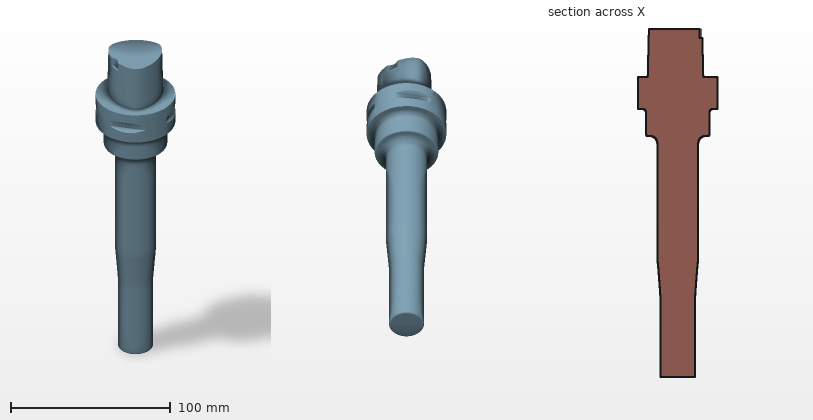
import cadquery as cq
import math

total_height = 218.0
taper_length = 30.0
flange_bottom = 167.6
collar_bottom = 150.9
upper_bend_height = 75.2
lower_bend_height = 50.4

flange_radius = 50.0 / 2
collar_radius = 40.0 / 2
shank_radius = 26.0 / 2
tip_radius = 22.0 / 2

flange_fillet = 2.2
collar_round = 1.0
shank_fillet = 4.5
tip_round = 1.0
bend_radius = 52.3

polygon_base_radius = 35.0 / 2
polygon_eccentricity = 1.4
polygon_taper = 1 / 20
lobe_count = 3
lobe_half_angle = 38.0
top_lobe_angle = 90.0

notch_radius = 5.2
notch_height = 5.7
notch_floor_offset = 13.7

slot_count = 4
slot_first_angle = 45.0
slot_height = 178.0
slot_floor_offset = 22.2
slot_floor_width = 3.5
slot_mouth_width = 7.2

flange_top = total_height - taper_length


def make_turned_body():
    """Flange, collar and stepped shank as one revolved profile."""
    slope_angle = math.atan2(shank_radius - tip_radius, upper_bend_height - lower_bend_height)
    bend_tangent = bend_radius * math.tan(slope_angle / 2)
    bend_dr = bend_tangent * math.sin(slope_angle)
    bend_dz = bend_tangent * math.cos(slope_angle)
    diagonal = math.sqrt(0.5)

    def quarter_arc(profile, center, radius, side_r, side_z, end):
        middle = (center[0] + side_r * radius * diagonal, center[1] + side_z * radius * diagonal)
        return profile.threePointArc(middle, end)

    profile = cq.Workplane("XZ").lineTo(tip_radius - tip_round, 0)
    profile = quarter_arc(
        profile, (tip_radius - tip_round, tip_round), tip_round, 1, -1, (tip_radius, tip_round)
    )
    profile = (
        profile.lineTo(tip_radius, lower_bend_height - bend_tangent)
        .tangentArcPoint((tip_radius + bend_dr, lower_bend_height + bend_dz), relative=False)
        .lineTo(shank_radius - bend_dr, upper_bend_height - bend_dz)
        .tangentArcPoint((shank_radius, upper_bend_height + bend_tangent), relative=False)
        .lineTo(shank_radius, collar_bottom - shank_fillet)
    )
    profile = quarter_arc(
        profile,
        (shank_radius + shank_fillet, collar_bottom - shank_fillet),
        shank_fillet, -1, 1,
        (shank_radius + shank_fillet, collar_bottom),
    )
    profile = profile.lineTo(collar_radius - collar_round, collar_bottom)
    profile = quarter_arc(
        profile,
        (collar_radius - collar_round, collar_bottom + collar_round),
        collar_round, 1, -1,
        (collar_radius, collar_bottom + collar_round),
    )
    profile = profile.lineTo(collar_radius, flange_bottom - flange_fillet)
    profile = quarter_arc(
        profile,
        (collar_radius + flange_fillet, flange_bottom - flange_fillet),
        flange_fillet, -1, 1,
        (collar_radius + flange_fillet, flange_bottom),
    )
    return (
        profile.lineTo(flange_radius, flange_bottom)
        .lineTo(flange_radius, flange_top)
        .lineTo(0, flange_top)
        .close()
        .revolve(360, (0, 0, 0), (0, 1, 0))
    )


def polygon_point(mean_radius, normal_angle, height):
    """Point of the constant-width outline where its normal has the given angle in degrees."""
    normal = math.radians(normal_angle)
    phase = lobe_count * math.radians(normal_angle - top_lobe_angle)
    reach = mean_radius + polygon_eccentricity * math.cos(phase)
    shift = -lobe_count * polygon_eccentricity * math.sin(phase)
    return cq.Vector(
        reach * math.cos(normal) - shift * math.sin(normal),
        reach * math.sin(normal) + shift * math.cos(normal),
        height,
    )


def polygon_wire(mean_radius, height):
    """Closed outline with one curve per lobe and one per flank."""
    points_per_curve = 13
    lobe_pitch = 360 / lobe_count
    edges = []
    for lobe in range(lobe_count):
        start = top_lobe_angle + lobe * lobe_pitch - lobe_half_angle
        flank_start = start + 2 * lobe_half_angle
        for first, last in ((start, flank_start), (flank_start, start + lobe_pitch)):
            step = (last - first) / (points_per_curve - 1)
            points = [polygon_point(mean_radius, first + i * step, height) for i in range(points_per_curve)]
            edges.append(cq.Edge.makeSpline(points))
    return cq.Wire.assembleEdges(edges)


def make_polygon_taper():
    top_radius = polygon_base_radius - taper_length * polygon_taper / 2
    base = polygon_wire(polygon_base_radius, flange_top)
    top = polygon_wire(top_radius, total_height)
    return cq.Workplane(cq.Solid.makeLoft([base, top], True))


def make_notch():
    """Upright cylinder that scoops the notch with a concave floor."""
    return (
        cq.Workplane("XY", origin=(0, -notch_floor_offset - notch_radius, total_height))
        .circle(notch_radius)
        .extrude(-notch_height)
    )


def make_gripper_slot():
    """Trapezoidal bar across the +X side of the flange."""
    depth = flange_radius - slot_floor_offset
    half_floor = slot_floor_width / 2
    half_mouth = slot_mouth_width / 2
    return (
        cq.Workplane("XZ", origin=(slot_floor_offset, 0, slot_height))
        .polyline([(0, -half_floor), (depth, -half_mouth), (depth, half_mouth), (0, half_floor)])
        .close()
        .extrude(flange_radius, both=True)
    )


result = make_turned_body().union(make_polygon_taper()).cut(make_notch())
for index in range(slot_count):
    angle = slot_first_angle + index * 360 / slot_count
    result = result.cut(make_gripper_slot().rotate((0, 0, 0), (0, 0, 1), angle))